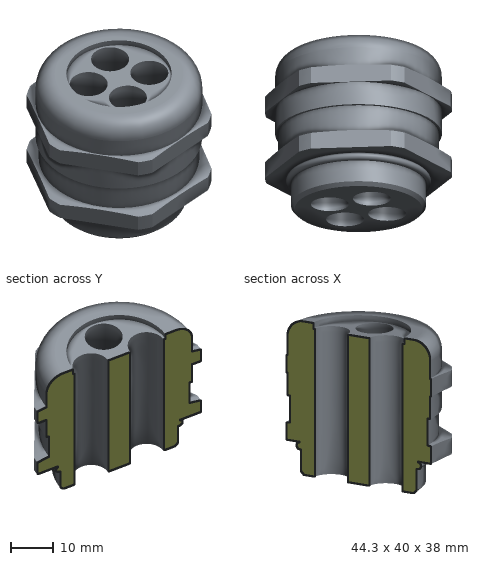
import cadquery as cq
import math

thread_top = 6.15
lower_hex_bottom = 7.97
body_top = 19.0
upper_hex_bottom = 24.65
total_height = 38.0

thread_diameter = 32.05
seal_diameter = 34.38
body_diameter = 38.1
cap_diameter = 39.5

thread_chamfer = 0.9
cap_rounding = 4.5

across_flats = 40.0
across_corners = 44.3
hex_corner_height = 4.0
hex_bevel_angle = 10

recess_diameter = 24.95
recess_depth = 1.45
cable_hole_diameter = 9.0
cable_hole_offset = 7.5
cable_hole_count = 4


def cylinder(diameter, bottom, top):
    """Upright cylinder on the main axis between two heights."""
    return cq.Workplane("XY").workplane(offset=bottom).circle(diameter / 2).extrude(top - bottom)


def hex_collar(bottom, neck_diameter):
    """Hexagon with rounded-off corners, its conical top rising to the neck of the given diameter."""
    sharp_corners = across_flats / math.cos(math.pi / 6)
    corner_radius = across_corners / 2
    neck_radius = neck_diameter / 2
    corner_top = bottom + hex_corner_height
    neck_top = corner_top + (corner_radius - neck_radius) * math.tan(math.radians(hex_bevel_angle))
    prism = cq.Workplane("XY").workplane(offset=bottom).polygon(6, sharp_corners).extrude(neck_top - bottom)
    envelope = (
        cq.Workplane("XZ")
        .moveTo(0, bottom)
        .lineTo(corner_radius, bottom)
        .lineTo(corner_radius, corner_top)
        .lineTo(neck_radius, neck_top)
        .lineTo(0, neck_top)
        .close()
        .revolve(360, (0, 0, 0), (0, 1, 0))
    )
    return prism.intersect(envelope)


def seal_ring(bottom, top):
    """Disc whose rim is a full half-round between two heights."""
    rounding = (top - bottom) / 2
    return (
        cq.Workplane("XZ")
        .moveTo(0, bottom)
        .lineTo(seal_diameter / 2 - rounding, bottom)
        .threePointArc((seal_diameter / 2, bottom + rounding), (seal_diameter / 2 - rounding, top))
        .lineTo(0, top)
        .close()
        .revolve(360, (0, 0, 0), (0, 1, 0))
    )


thread = cylinder(thread_diameter, 0, lower_hex_bottom).faces("<Z").chamfer(thread_chamfer)
seal = seal_ring(thread_top, lower_hex_bottom)
body = cylinder(body_diameter, lower_hex_bottom, body_top)
cap = cylinder(cap_diameter, body_top, total_height).faces(">Z").edges().fillet(cap_rounding)

result = thread.union(seal).union(body).union(cap)

result = result.union(hex_collar(lower_hex_bottom, body_diameter))
result = result.union(hex_collar(upper_hex_bottom, cap_diameter))

result = result.cut(cylinder(recess_diameter, total_height - recess_depth, total_height))
cable_holes = (
    cq.Workplane("XY")
    .polarArray(cable_hole_offset, 0, 360, cable_hole_count)
    .circle(cable_hole_diameter / 2)
    .extrude(total_height)
)
result = result.cut(cable_holes)